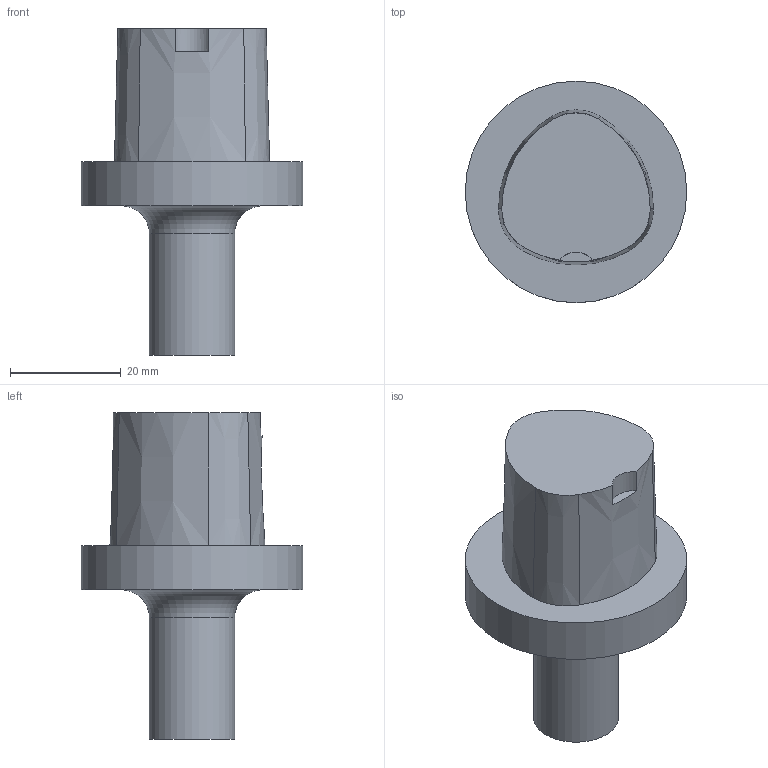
import cadquery as cq
import math

FLANGE_DIAMETER = 40.0
FLANGE_THICKNESS = 8.0
SHANK_DIAMETER = 15.4
SHANK_LENGTH = 27.0
SHANK_FILLET_RADIUS = 5.0
FILLET_MIDDLE_ANGLE = 135.0

POLYGON_WIDTH = 28.0
POLYGON_HEIGHT = 24.0
LOBE_RADIUS = 8.7
LOBE_COUNT = 3
LOBE_HALF_ANGLE = 90.0 / LOBE_COUNT
FIRST_LOBE_ANGLE = 90.0
TAPER_RATIO = 1 / 20

NOTCH_RADIUS = 3.8
NOTCH_DEPTH = 4.2
NOTCH_BACK_Y = -10.9


def polar(center, radius, angle):
    """Point at the given radius and angle (degrees) from a center."""
    radians = math.radians(angle)
    return (center[0] + radius * math.cos(radians), center[1] + radius * math.sin(radians))


def polygon_wire(inset, height):
    """Closed outline of alternating lobe and side arcs, offset inwards by inset."""
    lobe_center_spacing = POLYGON_WIDTH - 2 * LOBE_RADIUS
    lobe_center_distance = lobe_center_spacing / math.sqrt(LOBE_COUNT)
    lobe_radius = LOBE_RADIUS - inset
    side_radius = POLYGON_WIDTH - LOBE_RADIUS - inset
    lobe_step = 360.0 / LOBE_COUNT

    first_lobe_center = polar((0, 0), lobe_center_distance, FIRST_LOBE_ANGLE)
    start = polar(first_lobe_center, lobe_radius, FIRST_LOBE_ANGLE - LOBE_HALF_ANGLE)
    outline = cq.Workplane("XY").workplane(offset=height).moveTo(*start)
    for index in range(LOBE_COUNT):
        lobe_angle = FIRST_LOBE_ANGLE + index * lobe_step
        lobe_center = polar((0, 0), lobe_center_distance, lobe_angle)
        lobe_middle = polar(lobe_center, lobe_radius, lobe_angle)
        lobe_end = polar(lobe_center, lobe_radius, lobe_angle + LOBE_HALF_ANGLE)
        outline = outline.threePointArc(lobe_middle, lobe_end)

        side_angle = lobe_angle + lobe_step / 2
        opposite_center = polar((0, 0), lobe_center_distance, side_angle + 180.0)
        side_middle = polar(opposite_center, side_radius, side_angle)
        side_end = polar(opposite_center, side_radius, side_angle + LOBE_HALF_ANGLE)
        outline = outline.threePointArc(side_middle, side_end)
    return outline.close().val()


def tapered_polygon():
    """Polygon cone standing on the flange, narrowing upwards."""
    top_inset = POLYGON_HEIGHT * TAPER_RATIO / 2
    base = polygon_wire(0.0, 0.0)
    top = polygon_wire(top_inset, POLYGON_HEIGHT)
    return cq.Workplane(cq.Solid.makeLoft([base, top], True))


def flange_and_shank():
    """Flange and round shank with a concave fillet between them, turned about Z."""
    flange_radius = FLANGE_DIAMETER / 2
    shank_radius = SHANK_DIAMETER / 2
    flange_bottom = -FLANGE_THICKNESS
    shank_bottom = flange_bottom - SHANK_LENGTH
    fillet_center = (shank_radius + SHANK_FILLET_RADIUS, flange_bottom - SHANK_FILLET_RADIUS)
    fillet_middle = polar(fillet_center, SHANK_FILLET_RADIUS, FILLET_MIDDLE_ANGLE)
    fillet_end = (shank_radius, fillet_center[1])
    profile = (
        cq.Workplane("XZ")
        .moveTo(0, 0)
        .lineTo(flange_radius, 0)
        .lineTo(flange_radius, flange_bottom)
        .lineTo(fillet_center[0], flange_bottom)
        .threePointArc(fillet_middle, fillet_end)
        .lineTo(shank_radius, shank_bottom)
        .lineTo(0, shank_bottom)
        .close()
    )
    return profile.revolve(360, (0, 0, 0), (0, 1, 0))


def notch_cutter():
    """Upright cylinder that cuts the round-backed notch into the top edge."""
    return (
        cq.Workplane("XY")
        .workplane(offset=POLYGON_HEIGHT - NOTCH_DEPTH)
        .center(0, NOTCH_BACK_Y - NOTCH_RADIUS)
        .circle(NOTCH_RADIUS)
        .extrude(NOTCH_DEPTH)
    )


result = flange_and_shank().union(tapered_polygon().cut(notch_cutter()))